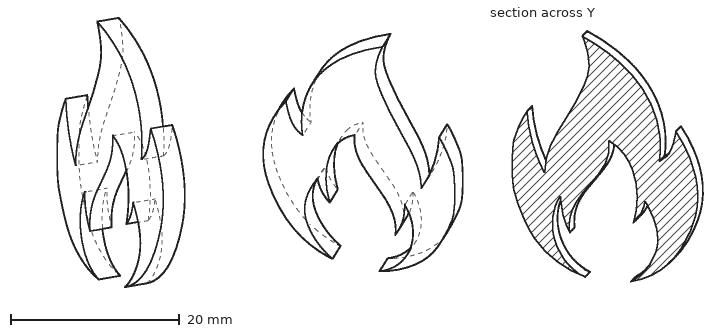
import cadquery as cq

width = 24.0
thickness = 3.0
height = 31.75

main_tip = (9.05, height)
right_notch = (19.05, 17.2)
right_tip = (21.15, 21.52)
right_foot = (15.3, 0.5)
inner_right_tip = (17.17, 11.43)
inner_right_notch = (15.65, 8.38)
inner_main_tip = (12.55, 18.55)
inner_left_notch = (7.45, 5.5)
inner_left_tip = (6.3, 10.05)
left_foot = (9.43, 0.0)
left_tip = (1.97, 20.47)
left_notch = (4.2, 12.8)

right_side = (width, 13.43)
left_side = (0.0, 13.0)
up = (0, 1)
down = (0, -1)


def curve_to(outline, *points):
    """Continue the outline with one smooth curve through the points."""
    return outline.spline(points, includeCurrent=True)


def curve_past_side(outline, before, side, after, direction):
    """Continue the outline through a widest point, vertical at that point."""
    points = [*before, side, *after]
    tangents = [None] * (len(points) + 1)
    tangents[len(before) + 1] = direction
    return outline.spline(points, tangents=tangents, includeCurrent=True)


flame = cq.Workplane("XZ").moveTo(*main_tip)
flame = curve_to(flame, (12.35, 30.22), (15.43, 27.93), (17.95, 24.47), (19.1, 20.47), right_notch)
flame = curve_to(flame, (19.93, 18.0), (20.8, 19.9), right_tip)
flame = curve_past_side(
    flame, [(22.98, 18.3)], right_side, [(23.05, 8.73), (20.2, 3.8), right_foot], down
)

flame = curve_to(flame, (17.7, 3.25), (18.8, 6.7), (18.2, 9.55), inner_right_tip)
flame = curve_to(flame, (16.7, 9.85), inner_right_notch)
flame = curve_to(flame, (16.12, 11.85), (15.52, 15.3), (14.47, 17.15), inner_main_tip)
flame = curve_to(flame, (12.05, 15.5), (10.15, 12.45), (8.25, 9.55), inner_left_notch)
flame = curve_to(flame, (6.63, 7.3), inner_left_tip)
flame = curve_to(flame, (5.27, 6.98), (5.87, 3.25), left_foot)

flame = curve_past_side(
    flame, [(5.9, 1.27), (2.9, 3.8), (0.73, 8.0)], left_side, [(0.83, 18.15), left_tip], up
)
flame = curve_to(flame, (2.5, 17.0), left_notch)
flame = curve_to(
    flame, (4.92, 16.45), (6.95, 20.47), (9.17, 25.05), (9.95, 27.93), (9.75, 29.65), main_tip
)

result = flame.close().extrude(thickness)